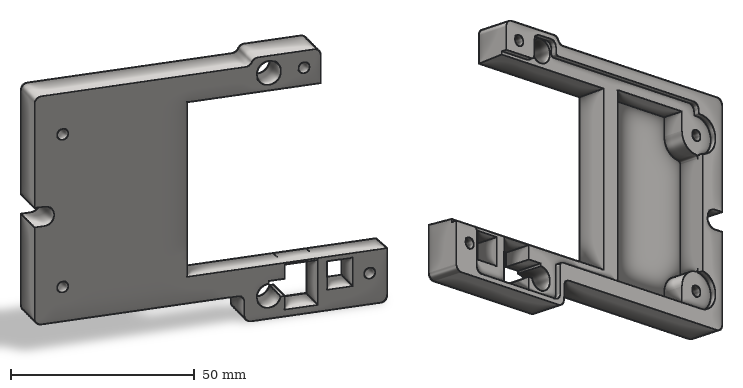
import cadquery as cq
import math

THICKNESS = 10.6
LENGTH = 102.61
HEIGHT = 77.39
OVERRUN = 10.0
OUTER_RADIUS = 2.0

RIM_BOTTOM = 7.95
RIM_TOP = 75.1
LOWER_TAB_START = 61.05
UPPER_TAB_START = 62.55
UPPER_ARM_END = 83.3
STEP_ANGLE = math.radians(60)

WINDOW_START = 44.0
WINDOW_BOTTOM = 15.36
WINDOW_TOP = 67.6
WINDOW_DRAFT = 3.0

SCREW_DIAMETER = 3.2
BOSS_RADIUS = 5.55
BOSS_Y = 8.2
LOWER_BOSS_Z = 18.1
UPPER_BOSS_Z = 63.0
LOWER_TAB_SCREW = (97.5, 9.2)
UPPER_TAB_SCREW = (78.4, 72.4)

RECESS_DEPTH = 1.8
RECESS_BOTTOM = LOWER_BOSS_Z - BOSS_RADIUS
RECESS_TOP = 71.65
RECESS_CORNER_Y = 9.1
TAB_WALL = 1.45
TAB_PAD_GAP = 0.93
LOWER_PAD_START = 94.75
UPPER_PAD_START = 72.5
UPPER_RECESS_START = 64.15
RECESS_RADIUS = 2.0
SMALL_RADIUS = 1.0

FLOOR_THICKNESS = 2.0
POCKET_FLOOR = THICKNESS - FLOOR_THICKNESS
POCKET_START = 7.6
POCKET_END = 38.5
POCKET_FILLET = 1.0

NOTCH_WIDTH = 5.7
NOTCH_DEPTH = 5.7
NOTCH_Z = 39.65

BIG_HOLE_DIAMETER = 7.0
BIG_HOLE_Y = 68.2
LOWER_BIG_HOLE_Z = 6.8
UPPER_BIG_HOLE_Z = 72.35
SMALL_OPENING_START = 85.15
SMALL_OPENING_WIDTH = 7.4
SMALL_OPENING_HEIGHT = 8.35
OPENING_BOTTOM = 6.1
LARGE_OPENING_START = 72.8
LARGE_OPENING_WIDTH = 9.6
LARGE_OPENING_BOTTOM = 2.05
LARGE_OPENING_HEIGHT = 13.2
SLOT_HEIGHT = 5.0


def plane_at(x):
    return cq.Workplane("YZ", origin=(x, 0, 0))


def box(y, z, width, height, x_start=0.0, x_end=THICKNESS):
    """Block with its lowest (Y, Z) corner at (y, z)."""
    return plane_at(x_start).rect(width, height, centered=False).extrude(x_end - x_start).translate((0, y, z))


def cylinder(y, z, diameter, x_start=0.0, x_end=THICKNESS):
    return plane_at(x_start).center(y, z).circle(diameter / 2).extrude(x_end - x_start)


def rounded_prism(corners, depth):
    """Prism from X = 0 over a polygon of (y, z, radius) corners; radius 0 stays sharp."""
    sketch = None
    for index, (y, z, radius) in enumerate(corners):
        corner = cq.Vector(y, z)
        before = (cq.Vector(*corners[index - 1][:2]) - corner).normalized()
        after = (cq.Vector(*corners[(index + 1) % len(corners)][:2]) - corner).normalized()
        half_angle = before.getAngle(after) / 2
        setback = radius / math.tan(half_angle)
        start = corner + before * setback
        end = corner + after * setback
        if sketch is None:
            sketch = plane_at(0).moveTo(start.x, start.y)
        else:
            sketch = sketch.lineTo(start.x, start.y)
        if radius > 0:
            inward = (before + after).normalized()
            middle = corner + inward * (radius / math.sin(half_angle) - radius)
            sketch = sketch.threePointArc((middle.x, middle.y), (end.x, end.y))
    return sketch.close().extrude(depth)


def make_frame():
    """Outer shape; the two arms are still joined where the window will be."""
    step_run = (HEIGHT - RIM_TOP) / math.tan(STEP_ANGLE)
    window_middle = (WINDOW_BOTTOM + WINDOW_TOP) / 2
    corners = [
        (0, RIM_BOTTOM, OUTER_RADIUS),
        (LOWER_TAB_START, RIM_BOTTOM, OUTER_RADIUS),
        (LOWER_TAB_START, 0, OUTER_RADIUS),
        (LENGTH, 0, OUTER_RADIUS),
        (LENGTH, window_middle, 0),
        (UPPER_ARM_END, window_middle, 0),
        (UPPER_ARM_END, HEIGHT, OUTER_RADIUS),
        (UPPER_TAB_START + step_run, HEIGHT, OUTER_RADIUS),
        (UPPER_TAB_START, RIM_TOP, OUTER_RADIUS),
        (0, RIM_TOP, OUTER_RADIUS),
    ]
    return rounded_prism(corners, THICKNESS)


def make_window():
    """Open-ended window whose walls lean inward toward the back."""
    width = LENGTH + OVERRUN - WINDOW_START
    height = WINDOW_TOP - WINDOW_BOTTOM
    return (
        plane_at(RECESS_DEPTH)
        .center(WINDOW_START + width / 2, WINDOW_BOTTOM + height / 2)
        .rect(width, height)
        .extrude(THICKNESS - RECESS_DEPTH, taper=WINDOW_DRAFT)
    )


def make_recess():
    """Front recess around the window, with round ends over the bosses."""
    boss_top = UPPER_BOSS_Z + BOSS_RADIUS
    lower_pad_top = WINDOW_BOTTOM - TAB_PAD_GAP
    upper_pad_bottom = WINDOW_TOP + TAB_PAD_GAP
    lower_recess_start = LOWER_TAB_START + TAB_WALL
    corners = [
        (BOSS_Y, RECESS_BOTTOM, 0),
        (lower_recess_start, RECESS_BOTTOM, SMALL_RADIUS),
        (lower_recess_start, TAB_WALL, RECESS_RADIUS),
        (LOWER_PAD_START, TAB_WALL, RECESS_RADIUS),
        (LOWER_PAD_START, lower_pad_top, SMALL_RADIUS),
        (LENGTH + OVERRUN, lower_pad_top, 0),
        (LENGTH + OVERRUN, upper_pad_bottom, 0),
        (UPPER_PAD_START, upper_pad_bottom, SMALL_RADIUS),
        (UPPER_PAD_START, HEIGHT - TAB_WALL, RECESS_RADIUS),
        (UPPER_RECESS_START, HEIGHT - TAB_WALL, RECESS_RADIUS),
        (UPPER_RECESS_START, RECESS_TOP, SMALL_RADIUS),
        (RECESS_CORNER_Y, RECESS_TOP, RECESS_RADIUS),
        (RECESS_CORNER_Y, boss_top, SMALL_RADIUS / 2),
        (BOSS_Y, boss_top, 0),
        (POCKET_START, UPPER_BOSS_Z, 0),
        (POCKET_START, LOWER_BOSS_Z, 0),
    ]
    recess = rounded_prism(corners, RECESS_DEPTH)
    for boss_z in (LOWER_BOSS_Z, UPPER_BOSS_Z):
        recess = recess.union(cylinder(BOSS_Y, boss_z, 2 * BOSS_RADIUS, 0, RECESS_DEPTH))
    return recess


def make_pocket():
    """Deep pocket that leaves a boss standing in both corners of the closed end."""
    pocket_top = UPPER_BOSS_Z + BOSS_RADIUS
    depth_range = (RECESS_DEPTH, POCKET_FLOOR)
    width = POCKET_END - POCKET_START
    pocket = box(POCKET_START, RECESS_BOTTOM, width, pocket_top - RECESS_BOTTOM, *depth_range)
    boss_end = BOSS_Y + BOSS_RADIUS
    for boss_z, block_bottom in ((LOWER_BOSS_Z, RECESS_BOTTOM), (UPPER_BOSS_Z, UPPER_BOSS_Z)):
        pocket = pocket.cut(cylinder(BOSS_Y, boss_z, 2 * BOSS_RADIUS, *depth_range))
        pocket = pocket.cut(box(0, block_bottom, boss_end, BOSS_RADIUS, *depth_range))
    return pocket.faces("<Y").edges("|X").fillet(POCKET_FILLET)


def make_notch():
    radius = NOTCH_WIDTH / 2
    round_center = NOTCH_DEPTH - radius
    straight = box(-OVERRUN, NOTCH_Z - radius, OVERRUN + round_center, NOTCH_WIDTH)
    return straight.union(cylinder(round_center, NOTCH_Z, NOTCH_WIDTH))


def make_arm_openings():
    """Two rectangular openings, the two big holes and the slot joining one of them."""
    small = box(SMALL_OPENING_START, OPENING_BOTTOM, SMALL_OPENING_WIDTH, SMALL_OPENING_HEIGHT)
    large = box(LARGE_OPENING_START, LARGE_OPENING_BOTTOM, LARGE_OPENING_WIDTH, LARGE_OPENING_HEIGHT)
    slot_length = LARGE_OPENING_START + LARGE_OPENING_WIDTH / 2 - BIG_HOLE_Y
    slot = box(BIG_HOLE_Y, OPENING_BOTTOM, slot_length, SLOT_HEIGHT)
    lower_hole = cylinder(BIG_HOLE_Y, LOWER_BIG_HOLE_Z, BIG_HOLE_DIAMETER)
    upper_hole = cylinder(BIG_HOLE_Y, UPPER_BIG_HOLE_Z, BIG_HOLE_DIAMETER)
    return large.union(slot).union(lower_hole).union(upper_hole).union(small)


def make_screw_holes():
    places = [
        (BOSS_Y, LOWER_BOSS_Z),
        (BOSS_Y, UPPER_BOSS_Z),
        LOWER_TAB_SCREW,
        UPPER_TAB_SCREW,
    ]
    return plane_at(0).pushPoints(places).circle(SCREW_DIAMETER / 2).extrude(THICKNESS)


result = (
    make_frame()
    .cut(make_window())
    .cut(make_recess())
    .cut(make_pocket())
    .cut(make_notch())
    .cut(make_arm_openings())
    .cut(make_screw_holes())
)